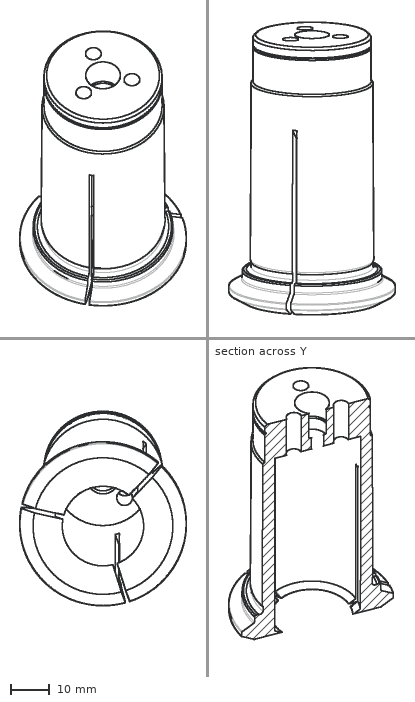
import cadquery as cq
import math

length = 70.0
flange_radius = 21.5
collar_radius = 18.05
cone_angle = 30.0

rim_bottom_z = 2.0
rim_top_z = 3.6
rim_fillet = 0.3
collar_top_z = 8.0
collar_fillet = 0.5
collar_chamfer = 0.4

neck_radius = 15.75
undercut_radius = 0.8
undercut_start_z = 8.7
neck_top_z = 10.1
relief_z = 10.3
relief_radius = 15.85

body_bottom_z = 10.8
body_bottom_radius = 16.0
body_top_z = 57.2
body_top_radius = 15.75

spigot_radius = 15.25
groove_depth = 0.35
groove_floor_z = 67.0
groove_top_z = 67.25
top_chamfer = 0.7

bore_radius = 12.5
mouth_radius = 10.5
lip_height = 1.2
bore_end_z = 58.0

center_hole_diameter = 8.92
center_seat_diameter = 8.25
center_hole_depth = 8.0
coolant_hole_diameter = 4.0
coolant_circle_radius = 7.6
coolant_hole_angles = (30, 150, 270)

slot_width = 1.15
slot_top_z = 48.1
slot_ramp_angle = 40.0
slot_angles = (60, 180, 300)


def revolve_profile(points):
    """Revolve a closed (radius, z) outline about the Z axis."""
    return cq.Workplane("XZ").polyline(points).close().revolve(360, (0, 0, 0), (0, 1, 0))


def round_ring(body, radius, z, fillet):
    """Fillet the circular edge of the given radius at height z."""
    margin = 0.02
    ring_box = cq.selectors.BoxSelector(
        (-radius - margin, -radius - margin, z - margin),
        (radius + margin, radius + margin, z + margin),
        boundingbox=True,
    )
    return body.edges(ring_box).fillet(fillet)


def make_undercut():
    """Ring of circular section, tangent to the neck and dipping into the collar face."""
    center_radius = neck_radius + undercut_radius
    return (
        cq.Workplane("XZ")
        .moveTo(center_radius, undercut_start_z)
        .circle(undercut_radius)
        .revolve(360, (0, 0, 0), (0, 1, 0))
    )


def make_outside():
    """Solid of revolution with the collar, neck, tapered body and grooved spigot."""
    slope = math.tan(math.radians(cone_angle))
    base_radius = flange_radius - rim_bottom_z / slope
    collar_bottom_z = rim_top_z + (flange_radius - collar_radius) * slope
    shoulder = body_top_radius - spigot_radius
    groove_radius = spigot_radius - groove_depth
    body = revolve_profile([
        (0, 0),
        (base_radius, 0),
        (flange_radius, rim_bottom_z),
        (flange_radius, rim_top_z),
        (collar_radius, collar_bottom_z),
        (collar_radius, collar_top_z - collar_chamfer),
        (collar_radius - collar_chamfer, collar_top_z),
        (neck_radius + undercut_radius, collar_top_z),
        (neck_radius, undercut_start_z),
        (neck_radius, neck_top_z),
        (relief_radius, relief_z),
        (body_bottom_radius, body_bottom_z),
        (body_top_radius, body_top_z),
        (spigot_radius, body_top_z + shoulder),
        (spigot_radius, groove_floor_z - groove_depth),
        (groove_radius, groove_floor_z),
        (groove_radius, groove_top_z),
        (spigot_radius, groove_top_z),
        (spigot_radius, length - top_chamfer),
        (spigot_radius - top_chamfer, length),
        (0, length),
    ])
    body = round_ring(body, flange_radius, rim_bottom_z, rim_fillet)
    body = round_ring(body, flange_radius, rim_top_z, rim_fillet)
    body = round_ring(body, collar_radius, collar_bottom_z, collar_fillet)
    return body.cut(make_undercut())


def make_bore():
    """Blind bore with a lip that narrows towards the open end."""
    return revolve_profile([
        (0, 0),
        (mouth_radius, 0),
        (bore_radius, lip_height),
        (bore_radius, bore_end_z),
        (0, bore_end_z),
    ])


def make_center_hole():
    """Wide hole from the top face, stepping through a 45 degree seat to a narrower one."""
    wide_radius = center_hole_diameter / 2
    narrow_radius = center_seat_diameter / 2
    seat_top_z = length - center_hole_depth
    return revolve_profile([
        (0, bore_end_z),
        (narrow_radius, bore_end_z),
        (narrow_radius, seat_top_z - (wide_radius - narrow_radius)),
        (wide_radius, seat_top_z),
        (wide_radius, length),
        (0, length),
    ])


def make_coolant_hole(angle):
    """Small through hole from the bore to the top face."""
    theta = math.radians(angle)
    return (
        cq.Workplane("XY", origin=(0, 0, bore_end_z))
        .center(coolant_circle_radius * math.cos(theta), coolant_circle_radius * math.sin(theta))
        .circle(coolant_hole_diameter / 2)
        .extrude(length - bore_end_z)
    )


def make_slot(angle):
    """Radial slot through the wall, its top ramping down towards the bore."""
    ramp_slope = math.tan(math.radians(slot_ramp_angle))
    inner_radius = mouth_radius - slot_width
    outer_radius = flange_radius + slot_width
    inner_top_z = slot_top_z - (body_top_radius - inner_radius) * ramp_slope
    outer_top_z = slot_top_z + (outer_radius - body_top_radius) * ramp_slope
    return (
        cq.Workplane("XZ")
        .polyline([
            (inner_radius, 0),
            (outer_radius, 0),
            (outer_radius, outer_top_z),
            (inner_radius, inner_top_z),
        ])
        .close()
        .extrude(slot_width / 2, both=True)
        .rotate((0, 0, 0), (0, 0, 1), angle)
    )


result = make_outside().cut(make_bore()).cut(make_center_hole())
for hole_angle in coolant_hole_angles:
    result = result.cut(make_coolant_hole(hole_angle))
for slot_angle in slot_angles:
    result = result.cut(make_slot(slot_angle))